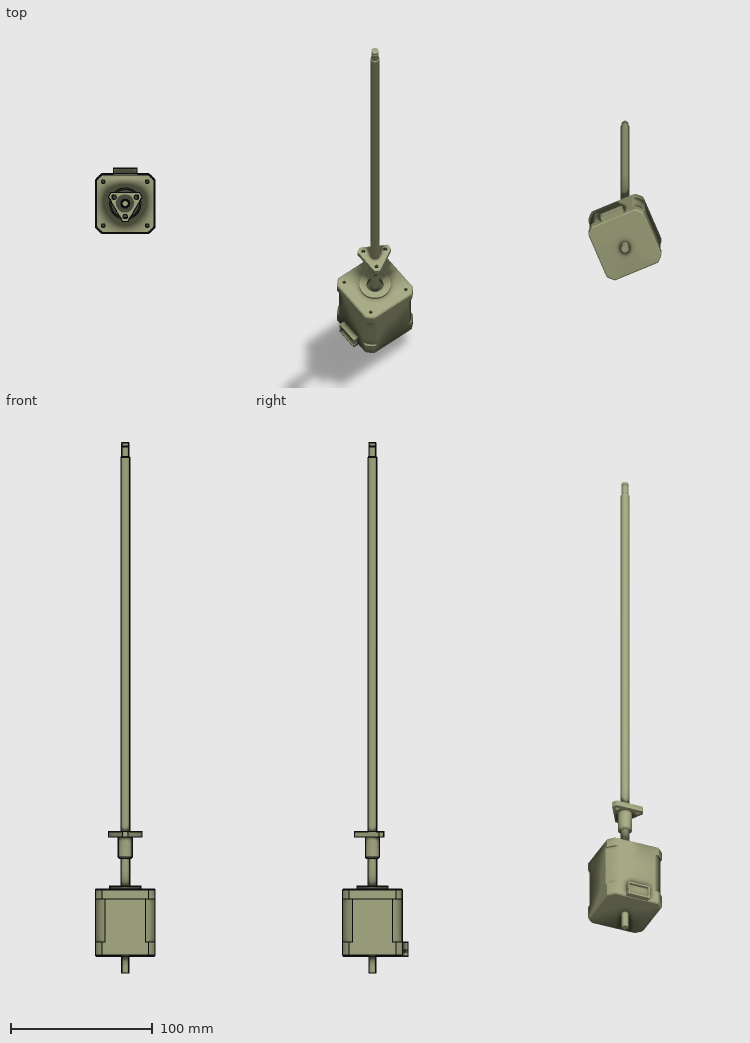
import cadquery as cq

motor_length = 47.6
front_cover_thickness = 7.0
rear_section_height = 10.0
rear_shaft_length = 11.8
overall_length = 374.15
cover_bottom = motor_length - front_cover_thickness

motor_width = 42.2
cover_corner_diameter = 53.6
stator_corner_diameter = 50.8
rim_chamfer = 0.8

boss_diameter = 22.0
boss_height = 2.0
rim_recess_diameter = 20.0
rim_recess_depth = 0.5
recess_diameter = 12.0
recess_depth = 4.0
mount_hole_spacing = 31.0
mount_hole_diameter = 2.5
mount_hole_depth = 4.5

pole_count = 8
pole_width = 4.7
pole_length = 2.5
pole_radius = 14.65
pole_roof = 1.2

screw_diameter = 6.35
journal_diameter = 5.0
journal_length = 10.0
shoulder_chamfer = 0.5
end_chamfer = 0.3
groove_diameter = 4.0
groove_width = 0.7
groove_from_end = 2.4

nut_bottom = 69.0
nut_barrel_diameter = 10.0
nut_barrel_chamfer = 1.0
nut_barrel_length = 15.0
nut_flange_bottom = nut_bottom + nut_barrel_length
nut_flange_thickness = 4.0
nut_flange_diameter = 25.5
nut_flange_apothem = 8.0
nut_hole_diameter = 3.0
nut_hole_radius = 9.0
nut_hole_count = 3

connector_width = 16.6
connector_depth = 4.0
connector_height = rear_section_height
connector_wall = 1.0
socket_depth = 2.3
side_groove_bottom = 3.2
side_groove_height = 1.3
side_groove_depth = 0.5


def cylinder(diameter, bottom, top):
    return cq.Workplane("XY", origin=(0, 0, bottom)).circle(diameter / 2).extrude(top - bottom)


def round_cornered_block(bottom, top, corner_diameter):
    block = cq.Workplane("XY", origin=(0, 0, bottom)).rect(motor_width, motor_width).extrude(top - bottom)
    return block.intersect(cylinder(corner_diameter, bottom, top))


def make_motor_body():
    rear = round_cornered_block(0, rear_section_height, cover_corner_diameter)
    rear = rear.faces("<Z").edges().chamfer(rim_chamfer)
    stator = round_cornered_block(rear_section_height, cover_bottom, stator_corner_diameter)
    return rear.union(stator).cut(cylinder(journal_diameter, 0, cover_bottom))


def make_front_cover():
    cover = round_cornered_block(cover_bottom, motor_length, cover_corner_diameter)
    cover = cover.faces(">Z").edges().chamfer(rim_chamfer)
    boss_top = motor_length + boss_height
    cover = cover.union(cylinder(boss_diameter, motor_length, boss_top))
    cover = cover.cut(cylinder(rim_recess_diameter, boss_top - rim_recess_depth, boss_top))
    cover = cover.cut(cylinder(recess_diameter, boss_top - recess_depth, boss_top))
    cover = cover.cut(cylinder(screw_diameter, cover_bottom, boss_top))
    mount_holes = (
        cq.Workplane("XY", origin=(0, 0, motor_length - mount_hole_depth))
        .rect(mount_hole_spacing, mount_hole_spacing, forConstruction=True)
        .vertices()
        .circle(mount_hole_diameter / 2)
        .extrude(mount_hole_depth)
    )
    pole_pockets = (
        cq.Workplane("XY", origin=(0, 0, cover_bottom))
        .polarArray(pole_radius, 0, 360, pole_count)
        .rect(pole_length, pole_width)
        .extrude(front_cover_thickness - pole_roof)
    )
    return cover.cut(mount_holes).cut(pole_pockets)


def make_screw():
    screw_top = overall_length - rear_shaft_length
    shoulder = screw_top - journal_length
    thread = cylinder(screw_diameter, cover_bottom, shoulder).faces(">Z").chamfer(shoulder_chamfer)
    journals = cylinder(journal_diameter, -rear_shaft_length, screw_top)
    journals = journals.faces(">Z").chamfer(end_chamfer)
    groove_top = screw_top - groove_from_end
    groove_bottom = groove_top - groove_width
    groove = cylinder(journal_diameter, groove_bottom, groove_top).cut(
        cylinder(groove_diameter, groove_bottom, groove_top)
    )
    return thread.union(journals).cut(groove)


def make_nut():
    flange_top = nut_flange_bottom + nut_flange_thickness
    triangle_circumradius = 2 * nut_flange_apothem
    triangle = (
        cq.Workplane("XY", origin=(0, 0, nut_flange_bottom))
        .transformed(rotate=(0, 0, -90))
        .polygon(3, 2 * triangle_circumradius)
        .extrude(nut_flange_thickness)
    )
    flange = triangle.intersect(cylinder(nut_flange_diameter, nut_flange_bottom, flange_top))
    bolt_holes = (
        cq.Workplane("XY", origin=(0, 0, nut_flange_bottom))
        .polarArray(nut_hole_radius, -90, 360, nut_hole_count)
        .circle(nut_hole_diameter / 2)
        .extrude(nut_flange_thickness)
    )
    barrel = cylinder(nut_barrel_diameter, nut_bottom, nut_flange_bottom)
    barrel = barrel.faces("<Z").chamfer(nut_barrel_chamfer)
    bore = cylinder(screw_diameter, nut_bottom, flange_top)
    return flange.cut(bolt_holes).union(barrel).cut(bore)


def connector_box(width, front, back, bottom, top):
    size = (width, back - front, top - bottom)
    return cq.Workplane("XY", origin=(0, front, bottom)).box(*size, centered=(True, False, False))


def make_connector():
    root = motor_width / 2
    mouth = root + connector_depth
    connector = connector_box(connector_width, root, mouth, 0, connector_height)
    socket = connector_box(
        connector_width - 2 * connector_wall,
        mouth - socket_depth,
        mouth,
        connector_wall,
        connector_height - connector_wall,
    )
    groove_top = side_groove_bottom + side_groove_height
    side_grooves = connector_box(connector_width, root, mouth, side_groove_bottom, groove_top).cut(
        connector_box(connector_width - 2 * side_groove_depth, root, mouth, side_groove_bottom, groove_top)
    )
    return connector.cut(socket).cut(side_grooves)


motor_body = make_motor_body()
front_cover = make_front_cover()
screw = make_screw()
nut = make_nut()
connector = make_connector()

result = cq.Compound.makeCompound(
    [motor_body.val(), front_cover.val(), screw.val(), nut.val(), connector.val()]
)